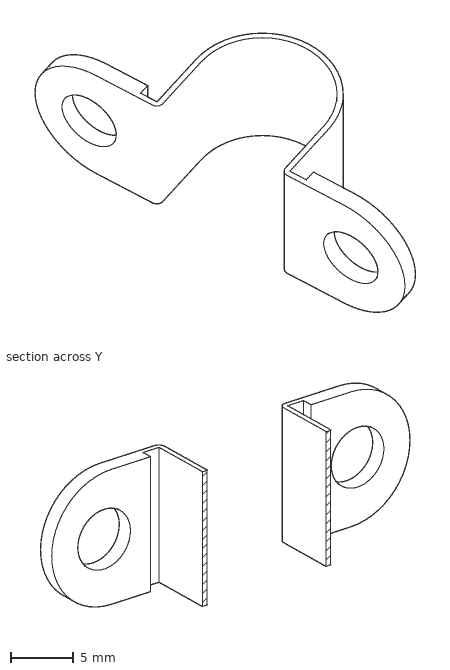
import cadquery as cq

overall_length = 36.2
overall_depth = 12.5
strap_width = 12.0
sheet_thickness = 0.5
arch_inner_radius = 6.0
bend_radius = 0.6
pad_thickness = 1.5
pad_inner_x = 8.1
hole_diameter = 5.3
hole_spacing = 25.6

arch_outer_radius = arch_inner_radius + sheet_thickness
mount_face_y = arch_outer_radius - overall_depth
flange_back_y = mount_face_y + sheet_thickness
pad_back_y = mount_face_y + pad_thickness
half_length = overall_length / 2
half_width = strap_width / 2
end_center_x = half_length - half_width


def make_strap():
    """Arch with straight legs and thickened flanges, extruded across the width."""
    profile = (
        cq.Workplane("XY")
        .workplane(offset=-half_width)
        .moveTo(-half_length, mount_face_y)
        .lineTo(-half_length, pad_back_y)
        .lineTo(-pad_inner_x, pad_back_y)
        .lineTo(-pad_inner_x, flange_back_y)
        .lineTo(-arch_outer_radius, flange_back_y)
        .lineTo(-arch_outer_radius, 0)
        .threePointArc((0, arch_outer_radius), (arch_outer_radius, 0))
        .lineTo(arch_outer_radius, flange_back_y)
        .lineTo(pad_inner_x, flange_back_y)
        .lineTo(pad_inner_x, pad_back_y)
        .lineTo(half_length, pad_back_y)
        .lineTo(half_length, mount_face_y)
        .lineTo(arch_inner_radius + bend_radius, mount_face_y)
        .radiusArc((arch_inner_radius, mount_face_y + bend_radius), bend_radius)
        .lineTo(arch_inner_radius, 0)
        .threePointArc((0, arch_inner_radius), (-arch_inner_radius, 0))
        .lineTo(-arch_inner_radius, mount_face_y + bend_radius)
        .radiusArc((-arch_inner_radius - bend_radius, mount_face_y), bend_radius)
        .close()
    )
    return profile.extrude(strap_width)


def make_rounded_outline():
    """Full-depth block with semicircular ends, used to round the flanges."""
    return (
        cq.Workplane("XZ", origin=(0, arch_outer_radius, 0))
        .slot2D(2 * end_center_x + strap_width, strap_width)
        .extrude(overall_depth)
    )


def make_screw_holes():
    """Cylinders for the hole through each flange."""
    return (
        cq.Workplane("XZ", origin=(0, pad_back_y, 0))
        .pushPoints([(-hole_spacing / 2, 0), (hole_spacing / 2, 0)])
        .circle(hole_diameter / 2)
        .extrude(pad_thickness)
    )


result = make_strap().intersect(make_rounded_outline()).cut(make_screw_holes())